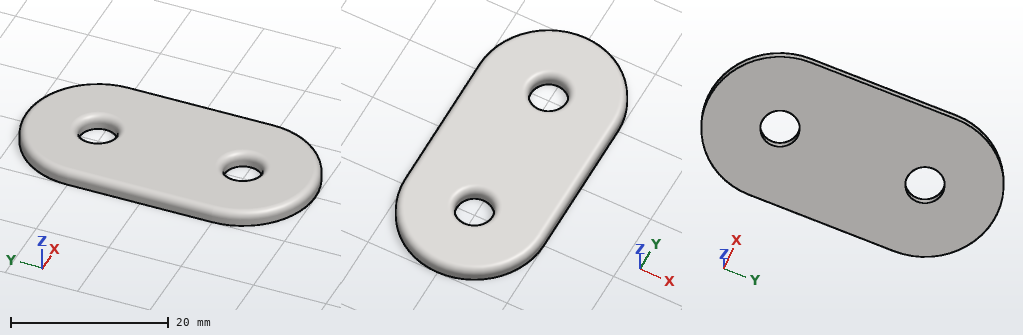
import cadquery as cq

length = 40.0
width = 20.0
thickness = 2.0
hole_diameter = 5.0
edge_radius = thickness / 2

hole_spacing = length - width

plate = cq.Workplane("XY").slot2D(length, width, angle=90).extrude(thickness)

plate = (
    plate.faces(">Z")
    .workplane(origin=(0, 0, thickness))
    .rarray(0.4, hole_spacing, 1, 2)
    .hole(hole_diameter)
)

result = plate.faces(">Z").edges().fillet(edge_radius)